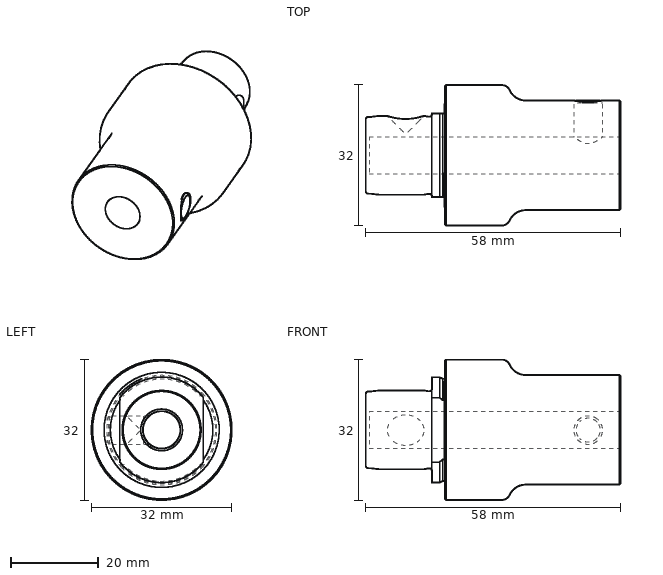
import cadquery as cq
import math

length = 58.0

spigot_radius = 9.0
relief_radius = 8.8
tip_radius = 8.75
tip_round = 0.6
tip_end = 1.2
lead_taper_start = 1.5
lead_taper_end = 3.0
undercut_taper_start = 13.35
undercut_start = 14.2
spigot_root_round = 0.6

flange_start = 15.1
flange_end = 16.8
flange_radius = 12.0
across_flats = 19.0
flat_end = 17.85

neck_radius = 11.65
neck_start = 17.5
neck_root_round = 0.6
groove_outer_radius = 13.1
groove_ramp = math.radians(25)

head_face = 18.05
head_radius = 16.0
head_chamfer = 0.3
head_end = 31.0
shoulder_round = 2.0
shank_blend_round = 4.0
shank_diameter = 25.0
shank_chamfer = 0.3

bore_radius = 4.25
bore_chamfer = 0.5
bore_chamfer_depth = 0.8

seat_x = 9.05
seat_apex_y = 4.8

screw_x = 50.6
screw_radius = 3.25
screw_chamfer = 0.5
screw_end_y = 12.45

shank_radius = shank_diameter / 2
quarter_arc = math.sqrt(0.5)
ramp_inner_radius = neck_radius + neck_root_round * (1 + math.sin(groove_ramp))
ramp_inner_x = head_face + (groove_outer_radius - ramp_inner_radius) * math.tan(groove_ramp)
neck_end = ramp_inner_x - neck_root_round * math.cos(groove_ramp)
shoulder_arcs = shoulder_round + shank_blend_round
shoulder_turn = math.acos(1 - (head_radius - shank_radius) / shoulder_arcs)


def shoulder_convex(angle):
    """Point on the rounding of the head, a given angle past its start."""
    return (
        head_end + shoulder_round * math.sin(angle),
        head_radius - shoulder_round * (1 - math.cos(angle)),
    )


def shoulder_concave(angle):
    """Point on the blend into the shank, a given angle before its end."""
    blend_end = head_end + shoulder_arcs * math.sin(shoulder_turn)
    return (
        blend_end - shank_blend_round * math.sin(angle),
        shank_radius + shank_blend_round * (1 - math.cos(angle)),
    )


def neck_root(angle):
    """Point on the root round of the neck, a given angle past its start."""
    return (
        neck_end + neck_root_round * math.sin(angle),
        neck_radius + neck_root_round * (1 - math.cos(angle)),
    )


def turned_body():
    """Revolve the outer outline, drawn as (X, radius) above the axis, about the X axis."""
    tip_mid = (
        tip_round * (1 - quarter_arc),
        tip_radius - tip_round * (1 - quarter_arc),
    )
    spigot_root_mid = (
        flange_start - spigot_root_round * (1 - quarter_arc),
        relief_radius + spigot_root_round * (1 - quarter_arc),
    )
    return (
        cq.Workplane("XZ")
        .moveTo(0, 0)
        .lineTo(0, tip_radius - tip_round)
        .threePointArc(tip_mid, (tip_round, tip_radius))
        .lineTo(tip_end, tip_radius)
        .lineTo(lead_taper_start, relief_radius)
        .lineTo(lead_taper_end, spigot_radius)
        .lineTo(undercut_taper_start, spigot_radius)
        .lineTo(undercut_start, relief_radius)
        .lineTo(flange_start - spigot_root_round, relief_radius)
        .threePointArc(spigot_root_mid, (flange_start, relief_radius + spigot_root_round))
        .lineTo(flange_start, flange_radius)
        .lineTo(flange_end, flange_radius)
        .lineTo(neck_start, neck_radius)
        .lineTo(neck_end, neck_radius)
        .threePointArc(neck_root((math.pi / 2 + groove_ramp) / 2), neck_root(math.pi / 2 + groove_ramp))
        .lineTo(head_face, groove_outer_radius)
        .lineTo(head_face, head_radius - head_chamfer)
        .lineTo(head_face + head_chamfer, head_radius)
        .lineTo(head_end, head_radius)
        .threePointArc(shoulder_convex(shoulder_turn / 2), shoulder_convex(shoulder_turn))
        .threePointArc(shoulder_concave(shoulder_turn / 2), shoulder_concave(0))
        .lineTo(length - shank_chamfer, shank_radius)
        .lineTo(length, shank_radius - shank_chamfer)
        .lineTo(length, 0)
        .close()
        .revolve(360, (0, 0, 0), (1, 0, 0))
    )


def bore():
    """Through bore with a chamfered mouth at the spigot tip."""
    return (
        cq.Workplane("XZ")
        .moveTo(0, 0)
        .lineTo(0, bore_radius + bore_chamfer)
        .lineTo(bore_chamfer_depth, bore_radius)
        .lineTo(length, bore_radius)
        .lineTo(length, 0)
        .close()
        .revolve(360, (0, 0, 0), (1, 0, 0))
    )


def flat_cutter(side):
    """Block that cuts one wrench flat; side is +1 or -1 along Y."""
    cut_width = head_radius - across_flats / 2
    cut_length = flat_end - flange_start
    return cq.Workplane("XY").box(cut_length, cut_width, 2 * head_radius).translate(
        (flange_start + cut_length / 2, side * (across_flats + cut_width) / 2, 0)
    )


def conical_seat():
    """90 degree cone opening toward +Y, with its apex inside the spigot wall."""
    height = spigot_radius - seat_apex_y
    apex = cq.Vector(seat_x, seat_apex_y, 0)
    return cq.Workplane(obj=cq.Solid.makeCone(0, height, height, apex, cq.Vector(0, 1, 0)))


def make_holder():
    """Turned body with its bore, screw seat, wrench flats and screw hole."""
    body = turned_body().cut(bore()).cut(conical_seat())
    for side in (1, -1):
        body = body.cut(flat_cutter(side))
    hole = cq.Workplane("XZ", origin=(screw_x, 0, 0)).circle(screw_radius).extrude(-head_radius)
    return body.cut(hole)


def make_set_screw():
    """Cylinder filling the hole from the bore wall outward, with a chamfered outer end."""
    return (
        cq.Workplane("XZ", origin=(screw_x, bore_radius, 0))
        .circle(screw_radius)
        .extrude(bore_radius - screw_end_y)
        .faces(">Y")
        .chamfer(screw_chamfer)
    )


holder = make_holder()
set_screw = make_set_screw()

result = cq.Compound.makeCompound([holder.val(), set_screw.val()])